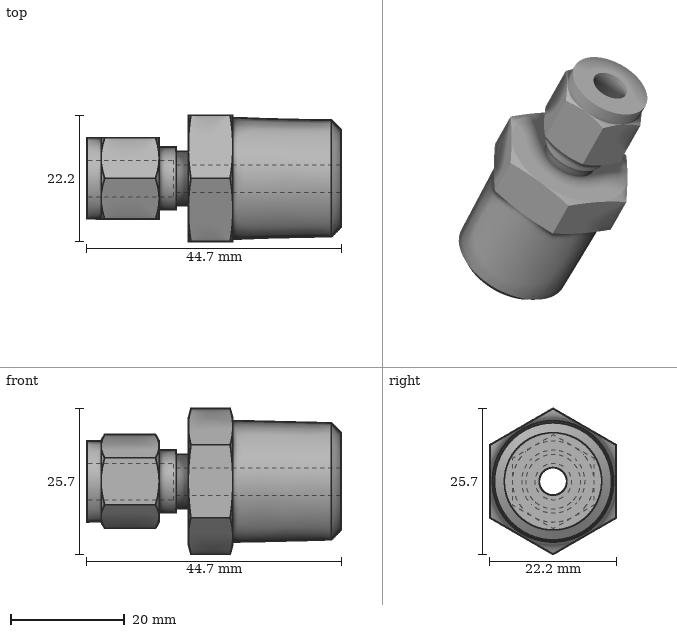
import cadquery as cq
import math


COLLAR_END = 2.49
NUT_END = 12.7
SHOULDER_END = 15.68
NECK_END = 17.84
HEX_END = 25.65
RELIEF_END = 26.73
TOTAL_LENGTH = 44.7

NUT_FLATS = 14.29
NUT_CHAMFER_ANGLE = 30.0
BODY_FLATS = 22.22
BODY_CHAMFER_ANGLE = 15.0

COLLAR_DIAMETER = NUT_FLATS
SHOULDER_DIAMETER = 11.1
NECK_DIAMETER = 9.6
THREAD_BASE_DIAMETER = 21.36
THREAD_TIP_DIAMETER = 20.58
TIP_CHAMFER = 1.73

TUBE_DIAMETER = 6.4
TUBE_SOCKET_DEPTH = 15.2
BORE_DIAMETER = 4.8


def cylinder(x_start, x_end, diameter):
    """Solid cylinder on the X axis between two stations."""
    return cq.Workplane("YZ", origin=(x_start, 0, 0)).circle(diameter / 2).extrude(x_end - x_start)


def chamfered_hexagon(x_start, x_end, flats, face_diameter, angle):
    """Hexagon with corners on +Z and -Z, both ends turned to a cone around a round face."""
    corner_diameter = flats / math.cos(math.radians(30))
    corner_radius = corner_diameter / 2
    face_radius = face_diameter / 2
    chamfer_length = (corner_radius - face_radius) * math.tan(math.radians(angle))
    prism = (
        cq.Workplane("YZ", origin=(x_start, 0, 0))
        .polygon(6, corner_diameter)
        .extrude(x_end - x_start)
        .rotate((0, 0, 0), (1, 0, 0), 90)
    )
    envelope = (
        cq.Workplane("XZ")
        .moveTo(x_start, 0)
        .lineTo(x_start, face_radius)
        .lineTo(x_start + chamfer_length, corner_radius)
        .lineTo(x_end - chamfer_length, corner_radius)
        .lineTo(x_end, face_radius)
        .lineTo(x_end, 0)
        .close()
        .revolve(360, (0, 0, 0), (1, 0, 0))
    )
    return prism.intersect(envelope)


def threaded_end():
    """Plain relief followed by the tapered thread envelope and its 45 degree tip chamfer."""
    base_radius = THREAD_BASE_DIAMETER / 2
    tip_radius = THREAD_TIP_DIAMETER / 2
    return (
        cq.Workplane("XZ")
        .moveTo(HEX_END, 0)
        .lineTo(HEX_END, base_radius)
        .lineTo(RELIEF_END, base_radius)
        .lineTo(TOTAL_LENGTH - TIP_CHAMFER, tip_radius)
        .lineTo(TOTAL_LENGTH, tip_radius - TIP_CHAMFER)
        .lineTo(TOTAL_LENGTH, 0)
        .close()
        .revolve(360, (0, 0, 0), (1, 0, 0))
    )


collar = cylinder(0, COLLAR_END, COLLAR_DIAMETER)
nut = chamfered_hexagon(COLLAR_END, NUT_END, NUT_FLATS, COLLAR_DIAMETER, NUT_CHAMFER_ANGLE)

shoulder = cylinder(NUT_END, SHOULDER_END, SHOULDER_DIAMETER)
neck = cylinder(SHOULDER_END, NECK_END, NECK_DIAMETER)
body_hexagon = chamfered_hexagon(NECK_END, HEX_END, BODY_FLATS, BODY_FLATS, BODY_CHAMFER_ANGLE)

tube_socket = cylinder(0, TUBE_SOCKET_DEPTH, TUBE_DIAMETER)
through_bore = cylinder(0, TOTAL_LENGTH, BORE_DIAMETER)

result = (
    collar.union(nut)
    .union(shoulder)
    .union(neck)
    .union(body_hexagon)
    .union(threaded_end())
    .cut(tube_socket)
    .cut(through_bore)
)